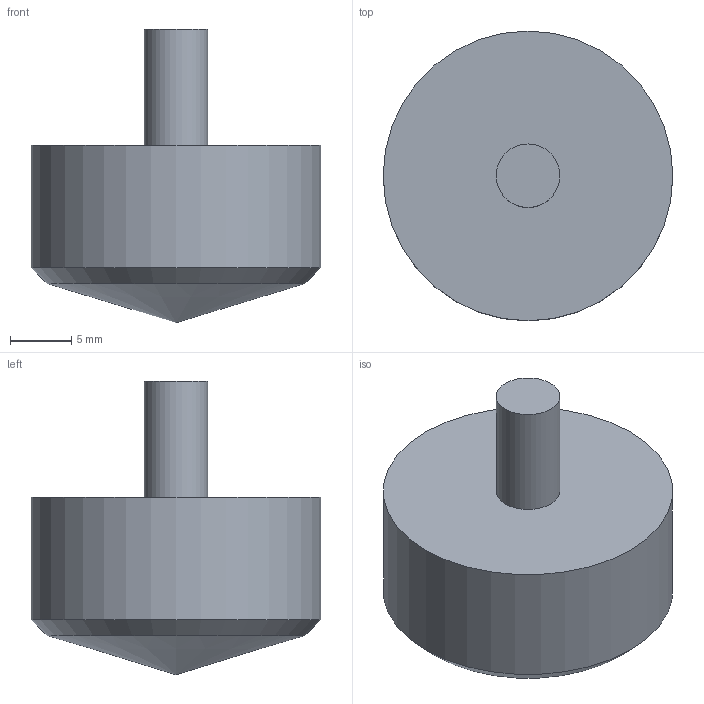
import cadquery as cq

total_height = 24.0
body_diameter = 23.7
pin_diameter = 5.2
pin_length = 9.5
body_wall_height = 10.0
chamfer_size = 1.3

body_radius = body_diameter / 2
pin_radius = pin_diameter / 2
cone_radius = body_radius - chamfer_size
body_top = total_height - pin_length
wall_bottom = body_top - body_wall_height
cone_top = wall_bottom - chamfer_size


def make_body():
    """Cylinder with a chamfered lower rim and a shallow conical point."""
    half_profile = (
        cq.Workplane("XZ")
        .moveTo(0, 0)
        .lineTo(cone_radius, cone_top)
        .lineTo(body_radius, wall_bottom)
        .lineTo(body_radius, body_top)
        .lineTo(0, body_top)
        .close()
    )
    return half_profile.revolve(360, (0, 0, 0), (0, 1, 0))


def make_pin():
    """Plain cylindrical pin standing on the flat top of the body."""
    return cq.Workplane("XY").workplane(offset=body_top).circle(pin_radius).extrude(pin_length)


result = make_body().union(make_pin())